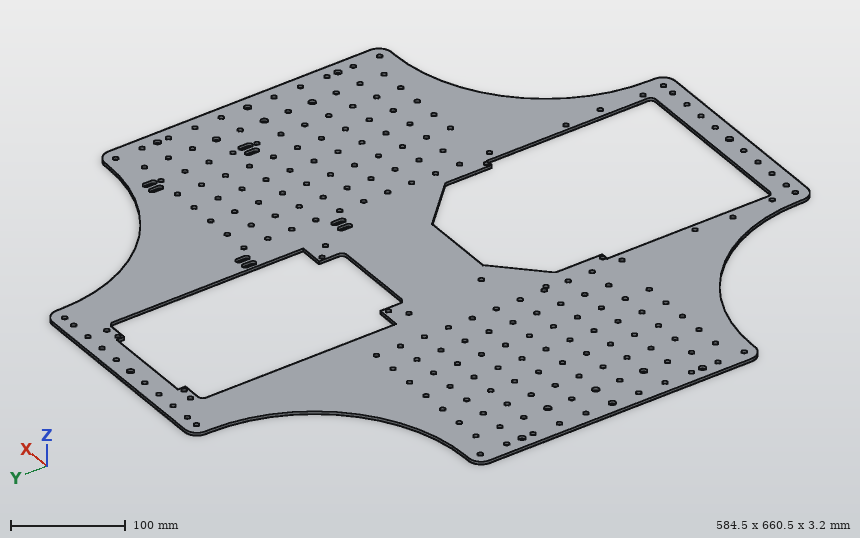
import cadquery as cq
import math

length = 660.5
width = 584.5
thickness = 3.2
corner_radius = 13.0

scoop_radius = 160.5
end_half_width = 114.0
side_half_length = 152.0

small_hole = 4.95
large_hole = 6.5

grid_reach = 254.0
grid_first_column = 4
grid_last_column = 10
grid_last_row = 5
pitch = grid_reach / grid_last_column
large_grid_rows = (-2, 0, 2)
dropped_columns = (4, 5)

edge_inset = 12.5
end_row_y = length / 2 - edge_inset
side_row_x = width / 2 - edge_inset
end_row_pitch = 22.0
end_row_steps = 4
end_row_outer_x = 101.0
side_row_reach = 140.0
side_row_steps = 5
side_row_pitch = side_row_reach / side_row_steps
side_large_y = 96.0

window_corner_radius = 5.0

rear_wide_half = 71.0
rear_wide_front = 85.0
rear_wide_back = 292.0
rear_narrow_half = 47.0
rear_narrow_front = 59.5
rear_narrow_back = 300.0

front_wide_half = 92.5
front_wide_front = -300.0
front_shoulder = -124.0
front_neck_half = 84.5
front_chamfer_y = -74.5
front_back = -29.0
front_back_half = front_neck_half - (front_back - front_chamfer_y)

slot_length = 14.0
slot_width = 6.0
slot_spacing = 10.0
slot_first_x = 78.0
slot_group_step_x = 142.5
slot_back_y = 138.0
slot_group_step_y = 4 * pitch

rear_window_holes = [(51.0, 296.0), (64.0, 298.5), (51.0, 79.0), (64.0, 67.0)]
front_window_holes = [(89.0, -121.5), (102.0, -133.5), (99.0, -212.5), (102.0, -251.0), (99.0, -294.5)]

left_single_holes = [(-57.0, -15.0), (-98.0, -55.5)]


def prism(outline):
    return outline.extrude(thickness)


def drill(body, points, diameter):
    return body.cut(prism(cq.Workplane().pushPoints(points).circle(diameter / 2)))


def box_between(half_width, front, back):
    centre_y = (front + back) / 2
    return prism(cq.Workplane().center(0, centre_y).rect(2 * half_width, back - front))


def both_sides(points):
    return [(side * x, y) for x, y in points for side in (-1, 1)]


def is_outer_corner(edge):
    x, y = abs(edge.Center().x), abs(edge.Center().y)
    on_side = math.isclose(x, width / 2) and math.isclose(y, side_half_length)
    on_end = math.isclose(y, length / 2) and math.isclose(x, end_half_width)
    return on_side or on_end


def make_plate():
    scoop_x = end_half_width + scoop_radius
    scoop_y = side_half_length + scoop_radius
    scoop_depth = scoop_radius * math.sqrt(0.5)
    quarter = (
        cq.Workplane()
        .lineTo(width / 2, 0)
        .lineTo(width / 2, side_half_length)
        .lineTo(scoop_x, side_half_length)
        .threePointArc(
            (scoop_x - scoop_depth, scoop_y - scoop_depth),
            (end_half_width, scoop_y),
        )
        .lineTo(end_half_width, length / 2)
        .lineTo(0, length / 2)
        .close()
    )
    half = prism(quarter)
    half = half.union(half.mirror("YZ"))
    plate = half.union(half.mirror("XZ")).clean()
    return plate.edges("|Z").filter(is_outer_corner).fillet(corner_radius)


def make_rear_window():
    wide = box_between(rear_wide_half, rear_wide_front, rear_wide_back)
    narrow = box_between(rear_narrow_half, rear_narrow_front, rear_narrow_back)
    wide = wide.edges("|Z and >Y").fillet(window_corner_radius)
    narrow = narrow.edges("|Z and <Y").fillet(window_corner_radius)
    return wide.union(narrow)


def is_neck_corner(edge):
    return math.isclose(edge.Center().y, front_chamfer_y)


def make_front_window():
    wide = box_between(front_wide_half, front_wide_front, front_shoulder)
    wide = wide.edges("|Z and <Y").fillet(window_corner_radius)
    neck_points = [
        (-front_neck_half, front_shoulder),
        (front_neck_half, front_shoulder),
        (front_neck_half, front_chamfer_y),
        (front_back_half, front_back),
        (-front_back_half, front_back),
        (-front_neck_half, front_chamfer_y),
    ]
    neck = prism(cq.Workplane().polyline(neck_points).close())
    neck = neck.edges("|Z").filter(is_neck_corner).fillet(window_corner_radius)
    return wide.union(neck)


def grid_points():
    regular = []
    large = []
    for column in range(grid_first_column, grid_last_column + 1):
        for row in range(-grid_last_row, grid_last_row + 1):
            if row == -grid_last_row and column in dropped_columns:
                continue
            is_large = column == grid_last_column and row in large_grid_rows
            chosen = large if is_large else regular
            chosen.append((column * pitch, row * pitch))
    return both_sides(regular), both_sides(large)


def end_row_points():
    xs = [step * end_row_pitch for step in range(1, end_row_steps + 1)] + [end_row_outer_x]
    return both_sides([(x, y) for x in xs for y in (-end_row_y, end_row_y)])


def side_row_points():
    steps = [step for step in range(-side_row_steps, side_row_steps + 1) if step != 0]
    return both_sides([(side_row_x, step * side_row_pitch) for step in steps])


def edge_large_points():
    ends = [(0, -end_row_y), (0, end_row_y)]
    return ends + both_sides([(side_row_x, y) for y in (-side_large_y, 0, side_large_y)])


def slot_points():
    return [
        (slot_first_x + group_x + offset, slot_back_y - group_y)
        for group_x in (0, slot_group_step_x)
        for group_y in (0, slot_group_step_y)
        for offset in (0, slot_spacing)
    ]


plate = make_plate().cut(make_rear_window()).cut(make_front_window())

regular_grid, large_grid = grid_points()
window_points = both_sides(rear_window_holes + front_window_holes)
small_points = regular_grid + window_points + end_row_points() + side_row_points()
plate = drill(plate, small_points + left_single_holes, small_hole)
plate = drill(plate, large_grid + edge_large_points(), large_hole)

slots = cq.Workplane().pushPoints(slot_points()).slot2D(slot_length, slot_width, 90)
result = plate.cut(prism(slots))